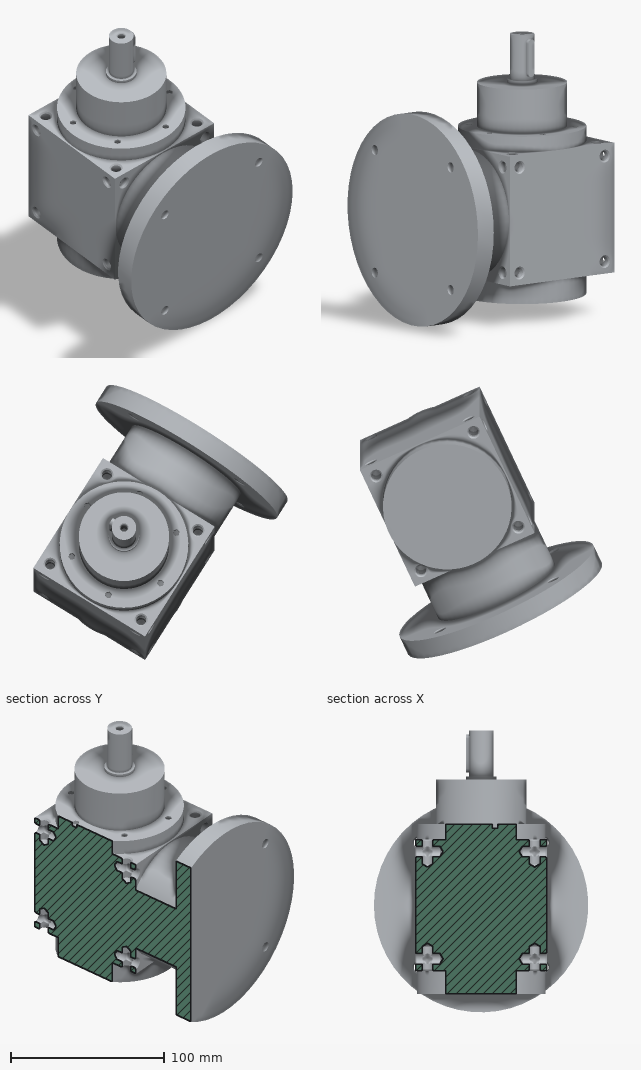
import cadquery as cq
import math


block_size = 86
half_block = block_size / 2
corner_hole_offset = 35
corner_hole_depth = 16

tap_core_diameter = 6.65
tap_mouth_diameter = 8.5
drill_point_angle = 118

cover_diameter = 84
top_cover_height = 10
bottom_cover_height = 15
tower_diameter = 59
tower_height = 29

flange_diameter = 140
flange_thickness = 13
flange_face_x = 90
flange_back_x = flange_face_x - flange_thickness
flange_bolt_circle = 115
flange_hole_count = 4
flange_first_angle = 45

screw_count = 6
screw_first_angle = 15
screw_circle_diameter = 70
screw_head_diameter = 8.5
screw_head_height = 5
socket_across_flats = 4
socket_depth = 2.5

shaft_diameter = 16
shaft_length = 30
collar_diameter = 20
collar_height = 2
centre_core_diameter = 4.92
centre_mouth_diameter = 6
centre_hole_depth = 16

key_width = 5
key_height = 5
key_length = 25
key_seat_depth = 3

cover_top_z = half_block + top_cover_height
tower_top_z = cover_top_z + tower_height
shaft_base_z = tower_top_z + collar_height
shaft_mid_z = shaft_base_z + shaft_length / 2


def countersunk_profile_start(core_diameter, mouth_diameter):
    """Half profile of a 45 degree countersink, from the axis to the core bore."""
    core_radius = core_diameter / 2
    mouth_radius = mouth_diameter / 2
    return (
        cq.Workplane("XZ")
        .lineTo(mouth_radius, 0)
        .lineTo(core_radius, core_radius - mouth_radius)
    )


def blind_hole(core_diameter, mouth_diameter, depth):
    """Cutter for a countersunk blind hole with its mouth at the origin, going down -Z."""
    core_radius = core_diameter / 2
    point_height = core_radius / math.tan(math.radians(drill_point_angle / 2))
    return (
        countersunk_profile_start(core_diameter, mouth_diameter)
        .lineTo(core_radius, -depth)
        .lineTo(0, -depth - point_height)
        .close()
        .revolve(360, (0, 0), (0, 1))
    )


def through_hole(core_diameter, mouth_diameter, depth):
    """Cutter for a countersunk hole through a wall, with its mouth at the origin, going down -Z."""
    return (
        countersunk_profile_start(core_diameter, mouth_diameter)
        .lineTo(core_diameter / 2, -depth)
        .lineTo(0, -depth)
        .close()
        .revolve(360, (0, 0), (0, 1))
    )


def top_face_holes():
    """Cutters for the four tapped holes of the block's top face."""
    cutter = blind_hole(tap_core_diameter, tap_mouth_diameter, corner_hole_depth)
    holes = cq.Workplane("XY")
    for x in (-corner_hole_offset, corner_hole_offset):
        for y in (-corner_hole_offset, corner_hole_offset):
            holes = holes.add(cutter.translate((x, y, half_block)))
    return holes.combine()


def cut_block_holes(block):
    """Cut the same four holes into all six faces of the block."""
    holes = top_face_holes()
    for angle in (0, 90, 180, 270):
        block = block.cut(holes.rotate((0, 0, 0), (1, 0, 0), angle))
    for angle in (90, -90):
        block = block.cut(holes.rotate((0, 0, 0), (0, 1, 0), angle))
    return block


def add_round_covers(block):
    """Add the top cover with its tower, and the bottom cover."""
    top_cover = (
        cq.Workplane("XY", origin=(0, 0, half_block))
        .circle(cover_diameter / 2)
        .extrude(top_cover_height)
    )
    tower = (
        cq.Workplane("XY", origin=(0, 0, cover_top_z))
        .circle(tower_diameter / 2)
        .extrude(tower_height)
    )
    bottom_cover = (
        cq.Workplane("XY", origin=(0, 0, -half_block))
        .circle(cover_diameter / 2)
        .extrude(-bottom_cover_height)
    )
    return block.union(top_cover).union(tower).union(bottom_cover)


def add_motor_flange(block):
    """Add the neck and the flange with its ring of countersunk through holes."""
    neck = (
        cq.Workplane("YZ", origin=(half_block, 0, 0))
        .circle(cover_diameter / 2)
        .extrude(flange_back_x - half_block)
    )
    flange = (
        cq.Workplane("YZ", origin=(flange_back_x, 0, 0))
        .circle(flange_diameter / 2)
        .extrude(flange_thickness)
    )
    hole = (
        through_hole(tap_core_diameter, tap_mouth_diameter, flange_thickness)
        .rotate((0, 0, 0), (0, 1, 0), -90)
        .translate((flange_back_x, 0, flange_bolt_circle / 2))
    )
    for index in range(flange_hole_count):
        angle = flange_first_angle + index * 360 / flange_hole_count
        flange = flange.cut(hole.rotate((0, 0, 0), (1, 0, 0), angle))
    return block.union(neck).union(flange)


def add_cover_screws(block):
    """Set flush socket-head screws into the top cover, as part of the housing."""
    head = (
        cq.Workplane("XY")
        .circle(screw_head_diameter / 2)
        .extrude(-screw_head_height)
    )
    socket = (
        cq.Workplane("XY")
        .polygon(6, socket_across_flats / math.cos(math.pi / 6))
        .extrude(-socket_depth)
    )
    screw_place = (screw_circle_diameter / 2, 0, cover_top_z)
    seat = head.translate(screw_place)
    screw = head.cut(socket).translate(screw_place)
    angles = [screw_first_angle + index * 360 / screw_count for index in range(screw_count)]
    for angle in angles:
        block = block.cut(seat.rotate((0, 0, 0), (0, 0, 1), angle))
    for angle in angles:
        block = block.union(screw.rotate((0, 0, 0), (0, 0, 1), angle), clean=False)
    return block


def make_housing():
    block = cq.Workplane("XY").box(block_size, block_size, block_size)
    block = cut_block_holes(block)
    block = add_round_covers(block)
    block = add_motor_flange(block)
    return add_cover_screws(block).solids()


def make_key():
    """Key on the +Y side of the shaft, seated partly below the shaft surface."""
    seat_y = shaft_diameter / 2 - key_seat_depth
    return (
        cq.Workplane("XZ", origin=(0, seat_y, shaft_mid_z))
        .slot2D(key_length, key_width, 90)
        .extrude(-key_height)
    )


def make_shaft():
    """Shaft standing on the tower, with a collar, a key seat and a tapped centre hole."""
    collar = (
        cq.Workplane("XY", origin=(0, 0, tower_top_z))
        .circle(collar_diameter / 2)
        .extrude(collar_height)
    )
    journal = (
        cq.Workplane("XY", origin=(0, 0, shaft_base_z))
        .circle(shaft_diameter / 2)
        .extrude(shaft_length)
    )
    centre_hole = blind_hole(centre_core_diameter, centre_mouth_diameter, centre_hole_depth)
    centre_hole = centre_hole.translate((0, 0, shaft_base_z + shaft_length))
    return collar.union(journal).cut(centre_hole).cut(make_key()).solids()


housing = make_housing()
shaft = make_shaft()
key = make_key()

result = cq.Compound.makeCompound([housing.val(), shaft.val(), key.val()])